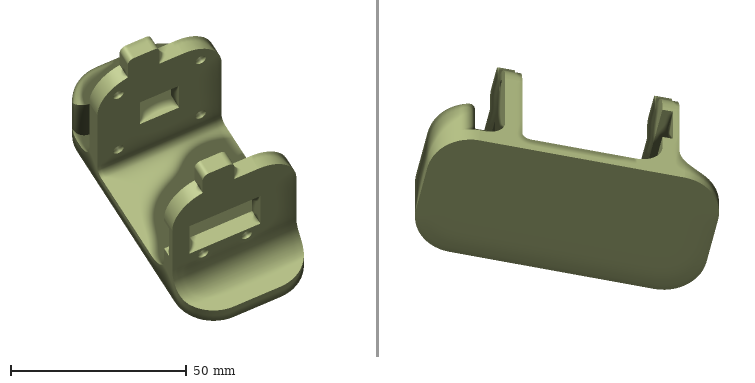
import cadquery as cq
import math

length = 85.0
width = 40.0
height = 53.0
thickness = 5.0
corner_radius = 12.5
half_width = width / 2

post_gap = 41.0
left_post_x = 20.0
right_post_x = left_post_x + thickness + post_gap
shoulder_z = 45.05
shoulder_radius = 12.2
tab_width = 10.2
tab_corner_radius = 2.0

large_root_radius = 8.0
front_notch_root_radius = 6.0
small_root_radius = 2.55

block_height = 19.7
block_edge_radius = 3.0
block_shoulder_x = left_post_x - large_root_radius
block_neck_width = 20.1
block_corner_radius = 3.4

hole_diameter = 3.4
left_hole_y = 13.3
left_hole_heights = (11.8, 38.3)
left_window_width = 12.6
left_window_top = 30.3
right_window_width = 22.9
right_window_y = -3.1
right_window_bottom = 18.0
right_window_top = 31.4
right_pocket_depth = 3.1
right_hole_spacing = 14.0
right_hole_z = 15.3


def box(x_range, y_range, z_range):
    """Axis-aligned box given by its limits."""
    size = [limits[1] - limits[0] for limits in (x_range, y_range, z_range)]
    corner = (x_range[0], y_range[0], z_range[0])
    return cq.Workplane("XY").box(*size, centered=False).translate(corner)


def rounded_plan(plan_height):
    """Full base outline raised to the given height."""
    return (
        cq.Workplane("XY")
        .rect(length, width)
        .extrude(plan_height)
        .translate((length / 2, 0, 0))
        .edges("|Z")
        .fillet(corner_radius)
    )


def post(x):
    """Upright plate with rounded shoulders and an off-centre tab."""
    plate = box((x, x + thickness), (-half_width, half_width), (0, shoulder_z))
    plate = plate.edges("|X and >Z").fillet(shoulder_radius)
    tab = box((x, x + thickness), (-tab_width, 0), (shoulder_z - thickness, height))
    tab = tab.edges("|X and >Z").fillet(tab_corner_radius)
    return plate.union(tab)


def root_fillet(x, side, radius, y_range):
    """Concave fillet from the base up a post face; side is -1 for left, +1 for right."""
    top = thickness + radius
    middle = radius * (1 - math.sqrt(0.5))
    return (
        cq.Workplane("XZ", origin=(0, y_range[1], 0))
        .moveTo(x, thickness)
        .lineTo(x, top)
        .threePointArc((x + side * middle, thickness + middle), (x + side * radius, thickness))
        .close()
        .extrude(y_range[1] - y_range[0])
    )


def end_block():
    """Block with a rounded top rim, narrowed to a neck next to the left post."""
    block = rounded_plan(block_height).faces(">Z").edges().fillet(block_edge_radius)

    corner_y = half_width - corner_radius
    rounding_x = block_shoulder_x - block_corner_radius
    offset_x = corner_radius - rounding_x
    center_distance = corner_radius - block_corner_radius
    rounding_y = corner_y + math.sqrt(center_distance**2 - offset_x**2)
    reach = corner_radius / center_distance
    tangent_x = corner_radius - offset_x * reach
    tangent_y = corner_y + (rounding_y - corner_y) * reach
    middle = block_corner_radius * math.sqrt(0.5)

    body = (
        cq.Workplane("XY")
        .moveTo(0, -half_width)
        .lineTo(tangent_x, -half_width)
        .lineTo(tangent_x, -tangent_y)
        .threePointArc(
            (rounding_x + middle, -rounding_y - middle),
            (block_shoulder_x, -rounding_y),
        )
        .lineTo(block_shoulder_x, rounding_y)
        .threePointArc((rounding_x + middle, rounding_y + middle), (tangent_x, tangent_y))
        .lineTo(tangent_x, half_width)
        .lineTo(0, half_width)
        .close()
        .extrude(block_height)
    )
    half_neck = block_neck_width / 2
    neck = box((0, left_post_x), (-half_neck, half_neck), (0, block_height))
    return block.intersect(body.union(neck))


def holes(x, points):
    """Round holes through the post at x, at the given (Y, Z) points."""
    return (
        cq.Workplane("YZ", origin=(x - large_root_radius, 0, 0))
        .pushPoints(points)
        .circle(hole_diameter / 2)
        .extrude(thickness + 2 * large_root_radius)
    )


full_width = (-half_width, half_width)
fillets = [
    (left_post_x, -1, front_notch_root_radius, (-half_width, 0)),
    (left_post_x, -1, large_root_radius, (0, half_width)),
    (left_post_x + thickness, 1, small_root_radius, full_width),
    (right_post_x, -1, large_root_radius, full_width),
    (right_post_x + thickness, 1, large_root_radius, full_width),
]
result = rounded_plan(thickness)
for post_x in (left_post_x, right_post_x):
    result = result.union(post(post_x))
for fillet in fillets:
    result = result.union(root_fillet(*fillet))
result = result.intersect(rounded_plan(height)).union(end_block())

left_points = [(side * left_hole_y, z) for side in (-1, 1) for z in left_hole_heights]
result = result.cut(holes(left_post_x, left_points))
half_window = left_window_width / 2
result = result.cut(
    box(
        (left_post_x, left_post_x + thickness),
        (-half_window, half_window),
        (block_height, left_window_top),
    )
)

window_z = (right_window_bottom, right_window_top)
window_y = (right_window_y - right_window_width / 2, right_window_y + right_window_width / 2)
result = result.cut(box((right_post_x, right_post_x + thickness), window_y, window_z))
result = result.cut(
    box((right_post_x, right_post_x + right_pocket_depth), (-half_width, right_window_y), window_z)
)
right_points = [(right_window_y + side * right_hole_spacing / 2, right_hole_z) for side in (-1, 1)]
result = result.cut(holes(right_post_x, right_points))